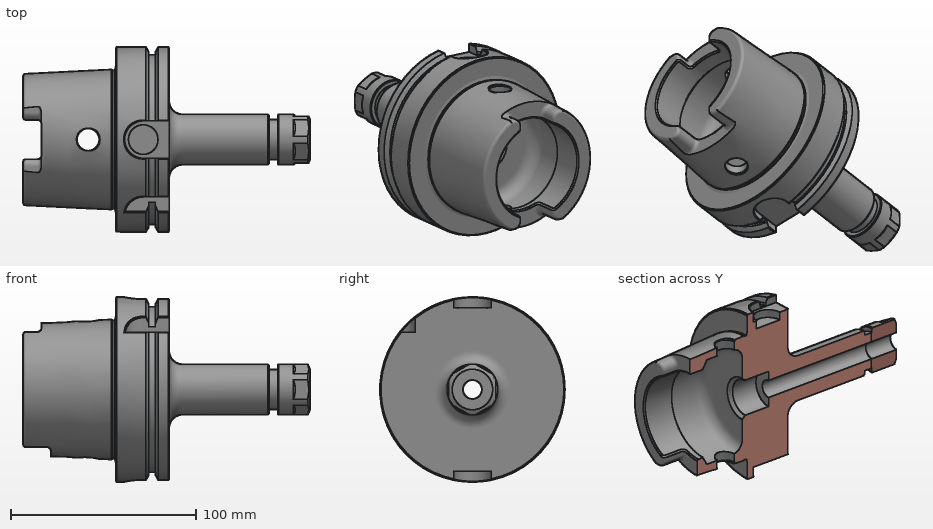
import cadquery as cq
import math

TOTAL_LENGTH = 155.0

FLANGE_DIA = 100.0
FLANGE_START = 50.0
FLANGE_END = 79.0
FLANGE_CHAMFER = 0.6
GROOVE_DIA = 91.8
GROOVE_CENTER = 69.8
GROOVE_BOTTOM_WIDTH = 3.5
GROOVE_TOP_WIDTH = 6.7
GROOVE_WALL_DIA = 94.5

TAPER_TIP_DIA = 71.0
TAPER_SLOPE = 0.05
TAPER_END = 47.6
TIP_ROUND = 1.7
NECK_DIA = 75.0
NECK_START = 48.4
NECK_END = 49.6
RELIEF_DIA = 78.7

SHANK_DIA = 27.5
SHANK_END = 132.8
SHANK_CHAMFER = 0.8
SHANK_FILLET = 7.0
SPIGOT_DIA = 21.9
NUT_START = 137.6

MOUTH_DIA = 53.0
MOUTH_CHAMFER = 0.8
MOUTH_LENGTH = 19.2
CAVITY_DIA = 63.0
SHOULDER_ANGLE = 60.0
CAVITY_END = 46.7
CAVITY_FLOOR_DIA = 49.3
SOCKET_RIM_DIA = 25.0
SOCKET_DIA = 21.0
SOCKET_END = 65.1
BORE_DIA = 10.0

SLOT_HALF_WIDTH = 10.5
SLOT_SHELF = 31.2
SLOT_ROUND = 4.0
TOP_SLOT_DEPTH = 9.9
BOTTOM_SLOT_DEPTH = 15.0
SLOT_FLOOR_FILLET = 2.0

ACCESS_X = 35.2
ACCESS_DIA = 12.0
ACCESS_RIM_DIA = 12.9

KEYWAY_X = 65.0
KEYWAY_WIDTH = 20.2
KEYWAY_FLOOR = 44.0
KEYWAY_CHAMFER = 0.5
CHIP_HOLE_DIA = 16.0
CHIP_HOLE_DEPTH = 4.6
NOTCH_OFFSET = 31.0

NUT_DIA = 27.5
NUT_CHAMFER = 0.5
NUT_FACE_DIA = 21.9
NUT_FACE_CHAMFER = 1.2
FLAT_COUNT = 6
FLATS_START = 146.0
ACROSS_FLATS = 25.4

TOLERANCE = 0.02

FLANGE_R = FLANGE_DIA / 2
SHANK_R = SHANK_DIA / 2
KEYWAY_R = KEYWAY_WIDTH / 2
TAPER_TIP_R = TAPER_TIP_DIA / 2


def taper_radius(x):
    return TAPER_TIP_R + TAPER_SLOPE * x


def around_axis(profile):
    """Revolve a closed (x, radius) profile around the X axis."""
    return profile.close().revolve(360, (0, 0, 0), (1, 0, 0))


def outer_body():
    fillet_mid = SHANK_FILLET * (1 - math.sqrt(0.5))
    profile = (
        cq.Workplane("XY")
        .lineTo(0, TAPER_TIP_R)
        .lineTo(TAPER_END, taper_radius(TAPER_END))
        .lineTo(NECK_START, NECK_DIA / 2)
        .lineTo(NECK_END, NECK_DIA / 2)
        .lineTo(FLANGE_START, RELIEF_DIA / 2)
        .lineTo(FLANGE_START, FLANGE_R - FLANGE_CHAMFER)
        .lineTo(FLANGE_START + FLANGE_CHAMFER, FLANGE_R)
        .lineTo(FLANGE_END - FLANGE_CHAMFER, FLANGE_R)
        .lineTo(FLANGE_END, FLANGE_R - FLANGE_CHAMFER)
        .lineTo(FLANGE_END, SHANK_R + SHANK_FILLET)
        .threePointArc(
            (FLANGE_END + fillet_mid, SHANK_R + fillet_mid),
            (FLANGE_END + SHANK_FILLET, SHANK_R),
        )
        .lineTo(SHANK_END - SHANK_CHAMFER, SHANK_R)
        .lineTo(SHANK_END, SHANK_R - SHANK_CHAMFER)
        .lineTo(SHANK_END, SPIGOT_DIA / 2)
        .lineTo(NUT_START, SPIGOT_DIA / 2)
        .lineTo(NUT_START, 0)
    )
    return around_axis(profile)


def gripper_groove():
    bottom = GROOVE_BOTTOM_WIDTH / 2
    top = GROOVE_TOP_WIDTH / 2
    profile = (
        cq.Workplane("XY")
        .moveTo(GROOVE_CENTER - bottom, GROOVE_DIA / 2)
        .lineTo(GROOVE_CENTER - bottom, GROOVE_WALL_DIA / 2)
        .lineTo(GROOVE_CENTER - top, FLANGE_R)
        .lineTo(GROOVE_CENTER + top, FLANGE_R)
        .lineTo(GROOVE_CENTER + bottom, GROOVE_WALL_DIA / 2)
        .lineTo(GROOVE_CENTER + bottom, GROOVE_DIA / 2)
    )
    return around_axis(profile)


def cavity():
    mouth_r = MOUTH_DIA / 2
    cavity_r = CAVITY_DIA / 2
    floor_r = CAVITY_FLOOR_DIA / 2
    corner = cavity_r - floor_r
    diagonal = corner * math.sqrt(0.5)
    shoulder_end = MOUTH_LENGTH + (cavity_r - mouth_r) / math.tan(math.radians(SHOULDER_ANGLE))
    socket_chamfer = (SOCKET_RIM_DIA - SOCKET_DIA) / 2
    profile = (
        cq.Workplane("XY")
        .lineTo(0, mouth_r)
        .lineTo(MOUTH_LENGTH, mouth_r)
        .lineTo(shoulder_end, cavity_r)
        .lineTo(CAVITY_END - corner, cavity_r)
        .threePointArc(
            (CAVITY_END - corner + diagonal, floor_r + diagonal),
            (CAVITY_END, floor_r),
        )
        .lineTo(CAVITY_END, SOCKET_RIM_DIA / 2)
        .lineTo(CAVITY_END + socket_chamfer, SOCKET_DIA / 2)
        .lineTo(SOCKET_END, SOCKET_DIA / 2)
        .lineTo(SOCKET_END, BORE_DIA / 2)
        .lineTo(NUT_START, BORE_DIA / 2)
        .lineTo(NUT_START, 0)
    )
    return around_axis(profile)


def drive_slot(depth):
    """Slot at +Z with rounded upper corners that flare out to a flat shelf."""
    flare_y = SLOT_HALF_WIDTH + SLOT_ROUND
    shelf_mid = SLOT_ROUND * (1 - math.sqrt(0.5))
    round_start = SLOT_SHELF - SLOT_ROUND
    slot = (
        cq.Workplane("YZ")
        .moveTo(-SLOT_HALF_WIDTH, 0)
        .lineTo(SLOT_HALF_WIDTH, 0)
        .lineTo(SLOT_HALF_WIDTH, round_start)
        .threePointArc((SLOT_HALF_WIDTH + shelf_mid, SLOT_SHELF - shelf_mid), (flare_y, SLOT_SHELF))
        .lineTo(FLANGE_R, SLOT_SHELF)
        .lineTo(FLANGE_R, FLANGE_R)
        .lineTo(-FLANGE_R, FLANGE_R)
        .lineTo(-FLANGE_R, SLOT_SHELF)
        .lineTo(-flare_y, SLOT_SHELF)
        .threePointArc((-SLOT_HALF_WIDTH - shelf_mid, SLOT_SHELF - shelf_mid), (-SLOT_HALF_WIDTH, round_start))
        .close()
        .extrude(depth)
    )
    return slot.faces(">X").edges().fillet(SLOT_FLOOR_FILLET)


def access_hole():
    hole = cq.Workplane("XY").center(ACCESS_X, 0).circle(ACCESS_DIA / 2).extrude(FLANGE_R, both=True)
    chamfer = (ACCESS_RIM_DIA - ACCESS_DIA) / 2
    rim_z = taper_radius(ACCESS_X)
    for side in (1, -1):
        rim = (
            cq.Workplane("XY", origin=(ACCESS_X, 0, side * (rim_z - 2 * chamfer)))
            .circle(ACCESS_DIA / 2)
            .workplane(offset=side * 2 * chamfer)
            .circle(ACCESS_RIM_DIA / 2)
            .loft()
        )
        hole = hole.union(rim)
    return hole


def round_ended_cut(center_y, floor_z):
    """Upward cut, open at the shank side of the flange, with a round end towards the taper."""
    height = FLANGE_R - floor_z
    end = cq.Workplane("XY", origin=(KEYWAY_X, center_y, floor_z)).circle(KEYWAY_R).extrude(height)
    length = FLANGE_END - KEYWAY_X
    run = cq.Workplane("XY").box(length, KEYWAY_WIDTH, height, centered=(False, True, False))
    return end.union(run.translate((KEYWAY_X, center_y, floor_z)))


def chip_hole():
    return (
        cq.Workplane("XY", origin=(KEYWAY_X, 0, KEYWAY_FLOOR - CHIP_HOLE_DEPTH))
        .circle(CHIP_HOLE_DIA / 2)
        .extrude(CHIP_HOLE_DEPTH)
    )


def upside_down(shape):
    return shape.rotate((0, 0, 0), (1, 0, 0), 180)


def round_tip(holder):
    """Round the tip face edges along the taper and the slots, and chamfer those along the mouth."""
    mouth_r = MOUTH_DIA / 2

    def is_mouth_edge(edge):
        return edge.geomType() == "CIRCLE" and abs(edge.radius() - mouth_r) < TOLERANCE

    rounded = holder.faces("<X").edges().filter(lambda edge: not is_mouth_edge(edge)).fillet(TIP_ROUND)
    return rounded.faces("<X").edges().filter(is_mouth_edge).chamfer(MOUTH_CHAMFER)


def chamfer_rim_cuts(holder):
    """Chamfer the keyway and notch edges that lie on the flange rim."""

    def is_rim_cut(edge):
        middle = edge.positionAt(0.5)
        on_rim = abs(math.hypot(middle.y, middle.z) - FLANGE_R) < TOLERANCE
        return on_rim and abs(middle.z) > TOLERANCE and edge.BoundingBox().xlen > TOLERANCE

    return holder.edges().filter(is_rim_cut).chamfer(KEYWAY_CHAMFER)


def make_holder():
    keyway = round_ended_cut(0, KEYWAY_FLOOR)
    side_notch = round_ended_cut(-NOTCH_OFFSET - KEYWAY_R, NOTCH_OFFSET)
    holder = outer_body().cut(keyway).cut(upside_down(keyway)).cut(side_notch)
    holder = chamfer_rim_cuts(holder)
    holder = (
        holder.cut(cavity())
        .cut(drive_slot(TOP_SLOT_DEPTH))
        .cut(upside_down(drive_slot(BOTTOM_SLOT_DEPTH)))
    )
    return round_tip(holder).cut(gripper_groove()).cut(access_hole()).cut(chip_hole())


def make_nut():
    nut_r = NUT_DIA / 2
    bore_r = BORE_DIA / 2
    profile = (
        cq.Workplane("XY")
        .moveTo(NUT_START, bore_r)
        .lineTo(NUT_START, nut_r - NUT_CHAMFER)
        .lineTo(NUT_START + NUT_CHAMFER, nut_r)
        .lineTo(TOTAL_LENGTH - NUT_FACE_CHAMFER, nut_r)
        .lineTo(TOTAL_LENGTH, NUT_FACE_DIA / 2)
        .lineTo(TOTAL_LENGTH, bore_r)
    )
    nut = around_axis(profile)
    across_r = ACROSS_FLATS / 2
    run_out = (
        cq.Workplane("XY")
        .moveTo(FLATS_START, 0)
        .lineTo(FLATS_START, nut_r)
        .lineTo(FLATS_START + nut_r, 0)
    )
    flat_length = TOTAL_LENGTH - FLATS_START
    flat_cut = (
        cq.Workplane("XY")
        .box(flat_length, NUT_DIA, NUT_DIA, centered=(False, False, True))
        .translate((FLATS_START, across_r, 0))
        .cut(around_axis(run_out))
    )
    for i in range(FLAT_COUNT):
        nut = nut.cut(flat_cut.rotate((0, 0, 0), (1, 0, 0), i * 360 / FLAT_COUNT))
    return nut


holder = make_holder()
nut = make_nut()

result = cq.Compound.makeCompound([holder.val(), nut.val()])